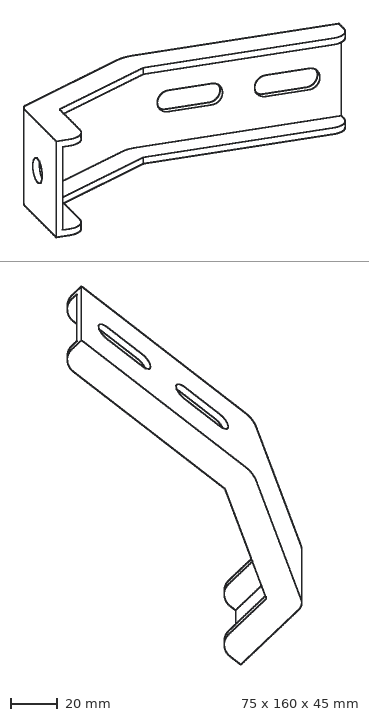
import cadquery as cq
import math

width = 75.0
length = 160.0
height = 45.0
flange_depth = 14.0
sheet = 3.0

slope_angle = 60.0
foot_inner_x = 43.0
long_bend_radius = 16.0
foot_bend_radius = 5.0
end_radius = 8.0

hole_diameter = 11.0
hole_x = 53.0
slot_length = 30.0
slot_width = 10.0
first_slot_from_end = 25.0
slot_pitch = 45.0
slot_count = 2

slope = math.radians(slope_angle)
long_inner_y = flange_depth + (foot_inner_x - flange_depth) * math.tan(slope)


def bend_corners(depth):
    """Web bend corners (long, foot) on the line set back by depth from the flange edges."""
    long_corner_y = long_inner_y - depth * math.tan((math.pi / 2 - slope) / 2)
    foot_corner_x = foot_inner_x - depth * math.tan(slope / 2)
    return (flange_depth - depth, long_corner_y), (foot_corner_x, flange_depth - depth)


def round_vertical_edge(body, x, y, radius):
    """Fillet the vertical edge that stands at (x, y)."""
    edge = cq.selectors.NearestToPointSelector((x, y, height / 2))
    return body.edges("|Z").edges(edge).fillet(radius)


long_outer, foot_outer = bend_corners(flange_depth)
result = (
    cq.Workplane("XY")
    .moveTo(0, length)
    .lineTo(*long_outer)
    .lineTo(*foot_outer)
    .lineTo(width, 0)
    .lineTo(width, flange_depth)
    .lineTo(foot_inner_x, flange_depth)
    .lineTo(flange_depth, long_inner_y)
    .lineTo(flange_depth, length)
    .close()
    .extrude(height)
)

for (x, y), radius in (
    (long_outer, long_bend_radius),
    (foot_outer, foot_bend_radius),
    ((flange_depth, length), end_radius),
    ((width, flange_depth), end_radius),
):
    result = round_vertical_edge(result, x, y, radius)

long_web, foot_web = bend_corners(flange_depth - sheet)
cavity = (
    cq.Workplane("XY", origin=(0, 0, sheet))
    .moveTo(sheet, length)
    .lineTo(*long_web)
    .lineTo(*foot_web)
    .lineTo(width, sheet)
    .lineTo(width, length)
    .close()
    .extrude(height - 2 * sheet)
)
cavity = round_vertical_edge(cavity, *long_web, long_bend_radius - sheet)
cavity = round_vertical_edge(cavity, *foot_web, foot_bend_radius - sheet)
result = result.cut(cavity)

first_slot_y = length - first_slot_from_end
slots = (
    cq.Workplane("YZ")
    .pushPoints([(first_slot_y - i * slot_pitch, height / 2) for i in range(slot_count)])
    .slot2D(slot_length, slot_width)
    .extrude(sheet)
)
result = result.cut(slots)

foot_hole = (
    cq.Workplane("XZ")
    .center(hole_x, height / 2)
    .circle(hole_diameter / 2)
    .extrude(-sheet)
)
result = result.cut(foot_hole)